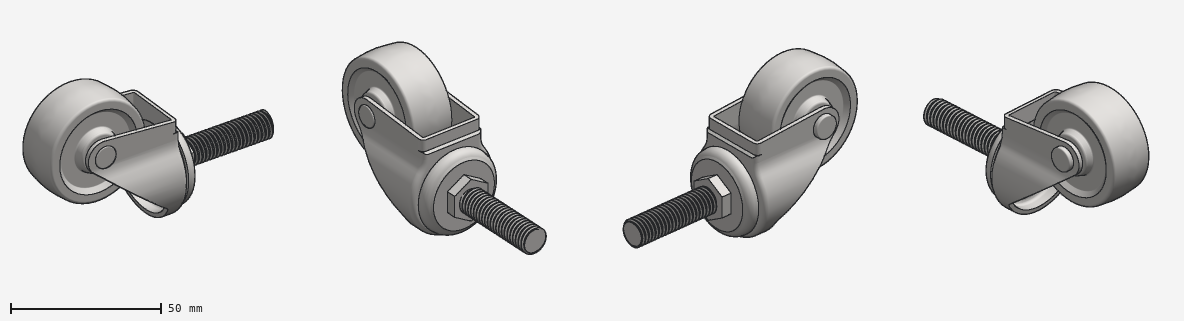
import cadquery as cq
import math


wheel_radius = 20.0
wheel_half_width = 17.0 / 2
wheel_height = 18.4
tread_edge_round = 1.0
tread_edge_radius = 19.4
rim_face_radius = 18.2
recess_rim_radius = 15.7
recess_root_radius = 14.0
recess_depth = 1.6
recess_root_round = 0.4
hub_root_radius = 8.7
hub_radius = 7.6
hub_flare = 0.6
hub_face_radius = 6.7
hub_round = 0.8
hub_half_width = 10.0

axle_radius = 3.0
head_radius = 4.4
head_length = 1.9
head_round = 0.5
tail_radius = 4.1
tail_length = 0.6
tail_round = 0.4

drum_radius = 17.5
sheet = 1.7
floor_thickness = 1.5
arm_half_width = 12.6
blend_radius = 8.65
back_round = 2.0
recess_round = 1.4
floor_back = 30.4
wall_back = 29.4
step_height = 18.05
step_chamfer = 0.8
arm_back_height = 22.5
arm_end_radius = 6.3
arm_end_offset = 0.7
lip_corner_y = 23.4
lip_corner_z = -8.3
lip_bottom_y = 24.7
lip_corner_round = 1.9

flange_radius = 15.8
flange_top = 36.0
flange_top_radius = 12.9
flange_shoulder_radius = 13.7
flange_shoulder_drop = 0.6
flange_rim_top = 32.25
flange_bottom = 31.5
neck_top_radius = 14.5
neck_bottom_radius = 13.5
hexagon_flats = 14.0
hexagon_top = 40.0
overall_length = 94
stem_end = overall_length - wheel_radius
thread_root_radius = 4.2
thread_crest_radius = 5.0
thread_pitch = 1.5
thread_root_width = 1.1
thread_crest_width = 0.3
thread_sink = 0.2

bulge = 1 - math.sqrt(0.5)


def along_y(y):
    """Workplane facing -Y at the given Y, with +X right and +Z up."""
    return cq.Workplane("XZ", origin=(0, y, 0))


def along_x(x):
    """Workplane facing +X at the given X, centred on the axle."""
    return cq.Workplane("YZ", origin=(x, 0, wheel_height))


def make_wheel():
    wheel = make_tread()
    for side in (-1, 1):
        wheel = wheel.cut(make_recess(side)).union(make_hub(side))
    bore = along_x(-hub_half_width).circle(axle_radius).extrude(2 * hub_half_width)
    return wheel.translate((0, 0, wheel_height)).cut(bore)


def make_tread():
    """Crowned disc with rounded edges, solid to its axis."""
    crown_edge = wheel_half_width - tread_edge_round
    round_x = wheel_half_width - bulge * tread_edge_round
    round_z = tread_edge_radius - bulge * (tread_edge_radius - rim_face_radius)
    return (
        cq.Workplane("XZ")
        .moveTo(-wheel_half_width, 0)
        .lineTo(-wheel_half_width, rim_face_radius)
        .threePointArc((-round_x, round_z), (-crown_edge, tread_edge_radius))
        .threePointArc((0, wheel_radius), (crown_edge, tread_edge_radius))
        .threePointArc((round_x, round_z), (wheel_half_width, rim_face_radius))
        .lineTo(wheel_half_width, 0)
        .close()
        .revolve(360, (0, 0, 0), (1, 0, 0))
    )


def make_recess(side):
    """Conical dish cut into one side face, with a rounded root."""
    web = wheel_half_width - recess_depth
    return (
        cq.Workplane("XZ")
        .moveTo(side * web, 0)
        .lineTo(side * web, recess_root_radius)
        .lineTo(side * wheel_half_width, recess_rim_radius)
        .lineTo(side * wheel_half_width, 0)
        .close()
        .revolve(360, (0, 0, 0), (1, 0, 0))
        .faces("<X" if side > 0 else ">X")
        .edges()
        .fillet(recess_root_round)
    )


def make_hub(side):
    """Flared hub with a rounded end, standing in one recess."""
    web = wheel_half_width - recess_depth
    hub_edge = hub_half_width - hub_round
    round_x = hub_half_width - bulge * hub_round
    round_z = hub_radius - bulge * (hub_radius - hub_face_radius)
    return (
        cq.Workplane("XZ")
        .lineTo(0, hub_root_radius)
        .lineTo(side * web, hub_root_radius)
        .threePointArc(
            (side * (web + bulge * hub_flare), hub_root_radius - (1 - bulge) * hub_flare),
            (side * (web + hub_flare), hub_root_radius - hub_flare),
        )
        .lineTo(side * hub_edge, hub_radius)
        .threePointArc((side * round_x, round_z), (side * hub_half_width, hub_face_radius))
        .lineTo(side * hub_half_width, 0)
        .close()
        .revolve(360, (0, 0, 0), (1, 0, 0))
    )


def make_axle():
    shaft = along_x(-arm_half_width).circle(axle_radius).extrude(2 * arm_half_width)
    head = (
        along_x(-arm_half_width).circle(head_radius).extrude(-head_length)
        .faces("<X").edges().fillet(head_round)
    )
    tail = (
        along_x(arm_half_width).circle(tail_radius).extrude(tail_length)
        .faces(">X").edges().fillet(tail_round)
    )
    return shaft.union(head).union(tail)


def keyhole(y, half_width, radius, blend, top):
    """Outline of a round drum that blends through hollow arcs into two upright arms."""
    blend_x = half_width + blend
    blend_z = math.sqrt((radius + blend) ** 2 - blend_x ** 2)
    share = radius / (radius + blend)
    touch_x = blend_x * share
    touch_z = blend_z * share
    lean = math.atan2(blend_z, blend_x) / 2
    middle_x = blend_x - blend * math.cos(lean)
    middle_z = blend_z - blend * math.sin(lean)
    return (
        along_y(y)
        .moveTo(half_width, top)
        .lineTo(half_width, blend_z)
        .threePointArc((middle_x, middle_z), (touch_x, touch_z))
        .threePointArc((0, -radius), (-touch_x, touch_z))
        .threePointArc((-middle_x, middle_z), (-half_width, blend_z))
        .lineTo(-half_width, top)
        .close()
    )


def tangent_point(y, z, centre_y, centre_z, radius, side):
    """Where a line from (y, z) touches a circle, on the chosen side."""
    dy = y - centre_y
    dz = z - centre_z
    angle = math.atan2(dz, dy) + side * math.acos(radius / math.hypot(dy, dz))
    return centre_y + radius * math.cos(angle), centre_z + radius * math.sin(angle)


def side_profile():
    """Side outline of the fork, as a block across its full width."""
    end_y = -arm_end_offset
    end_z = wheel_height
    upper = tangent_point(wall_back, arm_back_height, end_y, end_z, arm_end_radius, 1)
    lower = tangent_point(lip_corner_y, lip_corner_z, end_y, end_z, arm_end_radius, -1)
    return (
        cq.Workplane("YZ", origin=(-drum_radius, 0, 0))
        .moveTo(floor_back, step_height - step_chamfer)
        .lineTo(wall_back, step_height)
        .lineTo(wall_back, arm_back_height)
        .lineTo(*upper)
        .threePointArc((end_y - arm_end_radius, end_z), lower)
        .lineTo(lip_corner_y, lip_corner_z)
        .lineTo(lip_bottom_y, -drum_radius)
        .lineTo(floor_back, -drum_radius)
        .close()
        .extrude(2 * drum_radius)
        .edges(cq.NearestToPointSelector((0, lip_corner_y, lip_corner_z)))
        .fillet(lip_corner_round)
    )


def make_fork():
    reach = wall_back + wheel_radius
    top = wheel_height + wheel_radius
    inner_half_width = arm_half_width - sheet
    inner_radius = drum_radius - sheet
    floor_front = floor_back - floor_thickness

    lower = keyhole(floor_back, arm_half_width, drum_radius, blend_radius, step_height).extrude(reach)
    lower = lower.faces(">Y").edges("not >Z").fillet(back_round)
    upper = (
        cq.Workplane("XY")
        .box(2 * arm_half_width, reach, top, centered=(True, False, False))
        .edges("|Z and >Y")
        .fillet(back_round)
        .translate((0, wall_back - reach, 0))
    )
    drum_hollow = keyhole(
        floor_front - recess_round, inner_half_width, inner_radius, blend_radius + sheet, top
    ).extrude(reach)
    arm_gap = (
        cq.Workplane("XY")
        .box(2 * inner_half_width, reach, top, centered=(True, False, False))
        .edges("|Z and >Y")
        .fillet(back_round - sheet)
        .translate((0, wall_back - floor_thickness - reach, 0))
    )
    floor_recess = (
        along_y(floor_front).circle(inner_radius).extrude(2 * recess_round)
        .faces(">Y").edges().fillet(recess_round)
    )
    bore = along_x(-drum_radius).circle(axle_radius).extrude(2 * drum_radius)
    head_seat = along_x(-arm_half_width).circle(head_radius).extrude(-head_length)
    tail_seat = along_x(arm_half_width).circle(tail_radius).extrude(tail_length)

    fork = lower.union(upper).cut(drum_hollow).cut(arm_gap).cut(floor_recess)
    return fork.intersect(side_profile()).cut(bore).cut(head_seat).cut(tail_seat)


def make_thread():
    """Right-handed ridge that winds from inside the hexagon to the end of the stem."""
    start = hexagon_top - thread_pitch
    length = stem_end - start + thread_pitch
    sunk = thread_root_radius - thread_sink
    helix = cq.Wire.makeHelix(thread_pitch, length, sunk)
    ridge = (
        cq.Workplane("XZ")
        .polyline([
            (sunk, -thread_root_width / 2),
            (thread_crest_radius, -thread_crest_width / 2),
            (thread_crest_radius, thread_crest_width / 2),
            (sunk, thread_root_width / 2),
        ])
        .close()
        .sweep(cq.Workplane(obj=helix), isFrenet=True)
        .rotate((0, 0, 0), (1, 0, 0), -90)
        .translate((0, start, 0))
    )
    limits = along_y(stem_end).circle(2 * thread_crest_radius).extrude(stem_end - hexagon_top)
    return ridge.intersect(limits)


def make_stem():
    shoulder = flange_top - flange_shoulder_drop
    flange = (
        cq.Workplane("XY")
        .moveTo(0, floor_back)
        .lineTo(neck_bottom_radius, floor_back)
        .lineTo(neck_top_radius, flange_bottom)
        .lineTo(flange_radius, flange_bottom)
        .lineTo(flange_radius, flange_rim_top)
        .tangentArcPoint((flange_shoulder_radius, shoulder), relative=False)
        .lineTo(flange_top_radius, flange_top)
        .lineTo(0, flange_top)
        .close()
        .revolve(360, (0, 0, 0), (0, 1, 0))
    )
    hexagon = (
        along_y(hexagon_top)
        .polygon(6, hexagon_flats, circumscribed=True)
        .extrude(hexagon_top - flange_top)
    )
    rod = along_y(stem_end).circle(thread_root_radius).extrude(stem_end - hexagon_top)
    return flange.union(hexagon).union(rod).union(make_thread())


wheel = make_wheel()
axle = make_axle()
frame = make_fork().union(make_stem())
result = cq.Compound.makeCompound([wheel.val(), axle.val(), frame.val()])